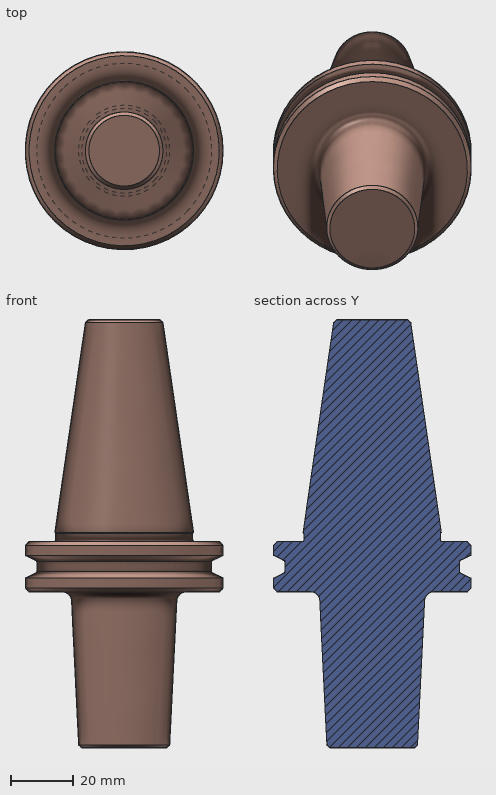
import cadquery as cq

total_height = 137.5
taper_length = 68.3
collar_length = 2.9
flange_width = 16.2
flange_top = total_height - taper_length - collar_length
flange_bottom = flange_top - flange_width

gauge_radius = 22.3
taper_slope = 7 / 48
shank_end_radius = gauge_radius - taper_length * taper_slope
shank_end_chamfer = 1.0

collar_step = 0.3
collar_radius = gauge_radius - collar_step
collar_fillet = 0.5

flange_radius = 31.8
flange_chamfer = 1.2
groove_radius = 28.0
groove_floor_width = 3.7
groove_floor_fillet = 0.4
groove_side_height = 1.8
groove_middle = (flange_top + flange_bottom) / 2

nose_root_radius = 17.0
nose_end_radius = 14.6
nose_end_chamfer = 1.0
nose_root_fillet = 2.9


def make_shank():
    cone = (
        cq.Workplane("XZ")
        .moveTo(0, total_height - taper_length)
        .lineTo(gauge_radius, total_height - taper_length)
        .lineTo(shank_end_radius, total_height)
        .lineTo(0, total_height)
        .close()
        .revolve(360, (0, 0, 0), (0, 1, 0))
        .faces(">Z")
        .chamfer(shank_end_chamfer)
    )
    collar = (
        cq.Workplane("XZ")
        .moveTo(0, flange_top)
        .lineTo(collar_radius + collar_fillet, flange_top)
        .radiusArc((collar_radius, flange_top + collar_fillet), collar_fillet)
        .lineTo(collar_radius, flange_top + collar_length - collar_step)
        .lineTo(gauge_radius, flange_top + collar_length)
        .lineTo(0, flange_top + collar_length)
        .close()
        .revolve(360, (0, 0, 0), (0, 1, 0))
    )
    return cone.union(collar)


def make_flange_and_nose():
    body = (
        cq.Workplane("XZ")
        .lineTo(nose_end_radius, 0)
        .lineTo(nose_root_radius, flange_bottom)
        .lineTo(flange_radius, flange_bottom)
        .lineTo(flange_radius, flange_top)
        .lineTo(0, flange_top)
        .close()
        .revolve(360, (0, 0, 0), (0, 1, 0))
    )
    inner_edge = cq.selectors.RadiusNthSelector(0)
    outer_edges = cq.selectors.RadiusNthSelector(-1)
    body = body.faces("<Z").chamfer(nose_end_chamfer)
    body = body.faces("|Z").faces(">Z[1]").edges(inner_edge).fillet(nose_root_fillet)
    return body.edges(outer_edges).chamfer(flange_chamfer)


def make_groove():
    half_floor = groove_floor_width / 2
    half_mouth = half_floor + groove_side_height
    return (
        cq.Workplane("XZ")
        .moveTo(groove_radius, groove_middle - half_floor)
        .lineTo(flange_radius, groove_middle - half_mouth)
        .lineTo(flange_radius, groove_middle + half_mouth)
        .lineTo(groove_radius, groove_middle + half_floor)
        .close()
        .revolve(360, (0, 0, 0), (0, 1, 0))
        .edges(cq.selectors.RadiusNthSelector(0))
        .fillet(groove_floor_fillet)
    )


result = make_flange_and_nose().cut(make_groove()).union(make_shank())